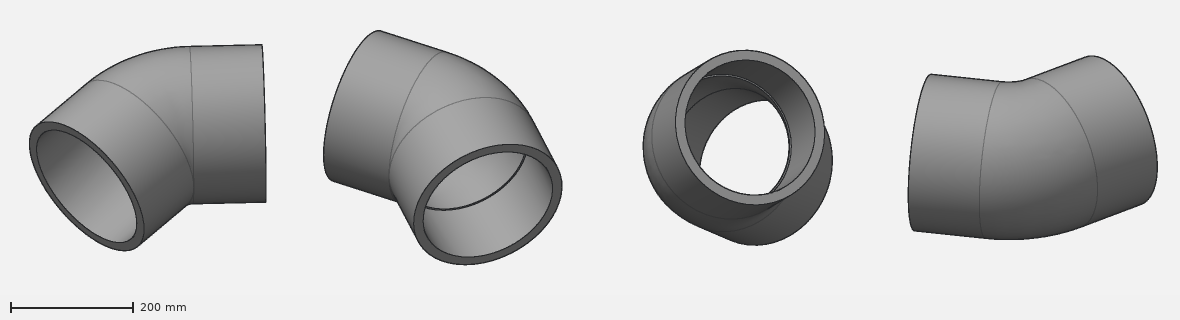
import cadquery as cq
import math

outer_diameter = 258.0
socket_diameter = 225.0
bore_diameter = 219.3
bend_angle = 45.0
overall_length = 384.7

bend_radius = outer_diameter / 2
angle = math.radians(bend_angle)
leg_length = (overall_length - outer_diameter * math.sin(angle)) / (1 + math.cos(angle))

inlet_plane = cq.Plane(origin=(0, 0, 0), xDir=(1, 0, 0), normal=(0, -1, 0))
outlet_plane = cq.Plane(
    origin=(bend_radius * (1 - math.cos(angle)), bend_radius * math.sin(angle), 0),
    xDir=(0, 0, 1),
    normal=(math.sin(angle), math.cos(angle), 0),
)


def leg(plane, diameter):
    """Straight cylinder running outwards from one end of the bend."""
    return cq.Workplane(plane).circle(diameter / 2).extrude(leg_length)


def bend(diameter):
    """Torus segment joining the two legs, turned about the inside corner."""
    return (
        cq.Workplane(inlet_plane)
        .circle(diameter / 2)
        .revolve(bend_angle, (bend_radius, 4, 0), (bend_radius, -4, 0))
    )


body = bend(outer_diameter)
for end_plane in (inlet_plane, outlet_plane):
    body = body.union(leg(end_plane, outer_diameter))

passage = bend(bore_diameter)
for end_plane in (inlet_plane, outlet_plane):
    passage = passage.union(leg(end_plane, socket_diameter))

result = body.cut(passage)